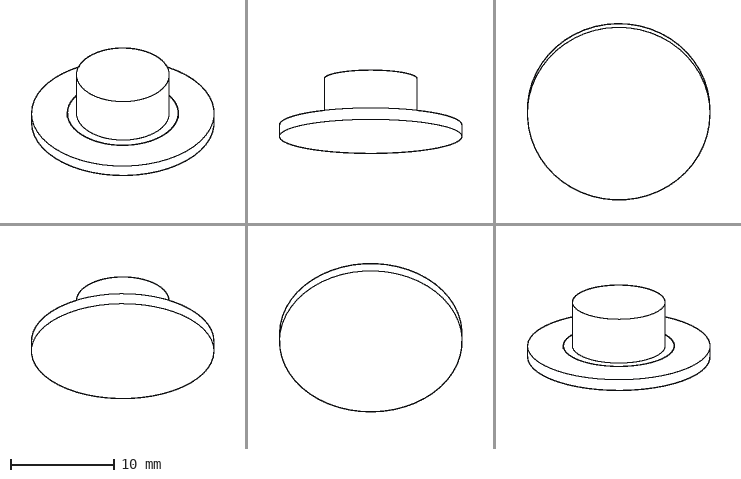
import cadquery as cq

base_diameter = 17.7
base_thickness = 1.13
recess_diameter = 10.8
recess_depth = base_thickness / 2

total_height = 5.7
flange_diameter = 10.7
flange_thickness = recess_depth
boss_diameter = 9.0
boss_height = total_height - base_thickness


def make_base():
    """Disc with a blind recess in its top face that takes the button flange."""
    disc = cq.Workplane("XY").circle(base_diameter / 2).extrude(base_thickness)
    return disc.faces(">Z").workplane().circle(recess_diameter / 2).cutBlind(-recess_depth)


def make_button():
    """Flange resting on the recess floor, with the boss standing on its top face."""
    recess_floor = base_thickness - recess_depth
    flange = (
        cq.Workplane("XY")
        .workplane(offset=recess_floor)
        .circle(flange_diameter / 2)
        .extrude(flange_thickness)
    )
    return flange.faces(">Z").workplane().circle(boss_diameter / 2).extrude(boss_height)


base = make_base()
button = make_button()

result = cq.Compound.makeCompound([base.val(), button.val()])